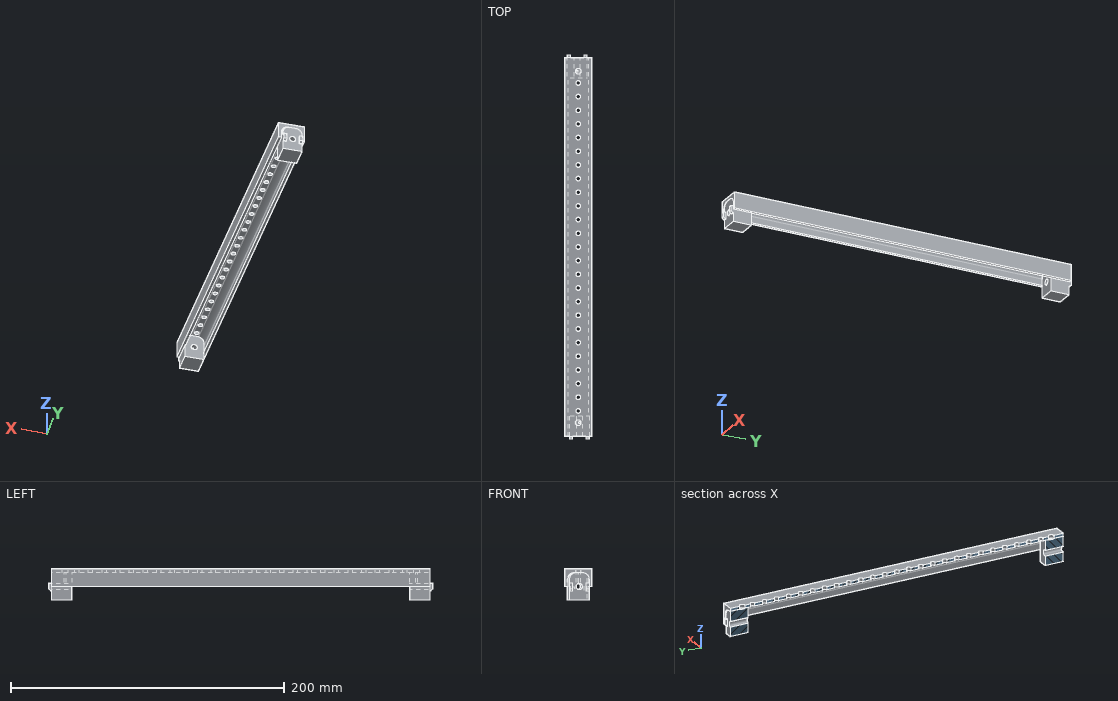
import cadquery as cq

rail_width = 20.0
rail_length = 277.2
rail_bottom = 10.0
rail_top = 23.0
channel_width = 15.0
channel_top = 20.2
arch_corner_radius = 5.0

row_hole_diameter = 3.2
row_hole_pitch = 10.0
row_hole_count = 25
screw_hole_diameter = 4.2
screw_hole_inset = 10.0

plug_width = 14.5
plug_length = 15.0
plug_offset = 0.8
plug_bore_diameter = 4.5
plug_bore_height = 10.0
pilot_diameter = 1.5
pilot_offset = 1.0

overall_length = 281.2
tab_reach = (overall_length - rail_length) / 2
tab_width = 2.4
tab_spacing = plug_width - tab_width
tab_bottom = 6.8
tab_top = 12.5
tab_chamfer = 1.5

rail_end = rail_length / 2
screw_hole_y = rail_end - screw_hole_inset


def arched_bar(width, bottom, top, length):
    """Bar along Y, centred on the origin in X and Y, with rounded upper edges."""
    bar = cq.Workplane("XY").box(width, length, top - bottom, centered=(True, True, False))
    return bar.edges("|Y and >Z").fillet(arch_corner_radius).translate((0, 0, bottom))


def make_rail():
    rail_height = rail_top - rail_bottom
    rail = cq.Workplane("XY", origin=(0, 0, rail_bottom))
    rail = rail.box(rail_width, rail_length, rail_height, centered=(True, True, False))
    rail = rail.cut(arched_bar(channel_width, rail_bottom, channel_top, rail_length))
    drill_start = cq.Workplane("XY", origin=(0, 0, rail_bottom))
    row = drill_start.rarray(1, row_hole_pitch, 1, row_hole_count)
    rail = rail.cut(row.circle(row_hole_diameter / 2).extrude(rail_height))
    screws = drill_start.pushPoints([(0, -screw_hole_y), (0, screw_hole_y)])
    return rail.cut(screws.circle(screw_hole_diameter / 2).extrude(rail_height))


def make_tab(x):
    """Tab standing out from the plug face, sloped on its lower outer edge."""
    outline = cq.Workplane("YZ", origin=(x - tab_width / 2, 0, 0)).polyline([
        (-rail_end, tab_bottom),
        (-rail_end - tab_reach + tab_chamfer, tab_bottom),
        (-rail_end - tab_reach, tab_bottom + tab_chamfer),
        (-rail_end - tab_reach, tab_top),
        (-rail_end, tab_top),
    ])
    return outline.close().extrude(tab_width)


def make_plug():
    """Plug for the -Y end of the rail."""
    plug = arched_bar(plug_width, 0, channel_top, plug_length)
    plug = plug.translate((plug_offset, plug_length / 2 - rail_end, 0))
    for side in (-1, 1):
        plug = plug.union(make_tab(plug_offset + side * tab_spacing / 2))
    bore = cq.Workplane("XZ", origin=(plug_offset, -rail_end, plug_bore_height))
    plug = plug.cut(bore.circle(plug_bore_diameter / 2).extrude(-plug_length))
    pilot = cq.Workplane("XY", origin=(pilot_offset, -screw_hole_y, plug_bore_height))
    return plug.cut(pilot.circle(pilot_diameter / 2).extrude(channel_top - plug_bore_height))


plugs = [make_plug().rotate((0, 0, 0), (0, 0, 1), turn) for turn in (0, 180)]
rail = make_rail()
for plug in plugs:
    rail = rail.cut(plug)

result = cq.Compound.makeCompound([rail.val(), *[plug.val() for plug in plugs]])